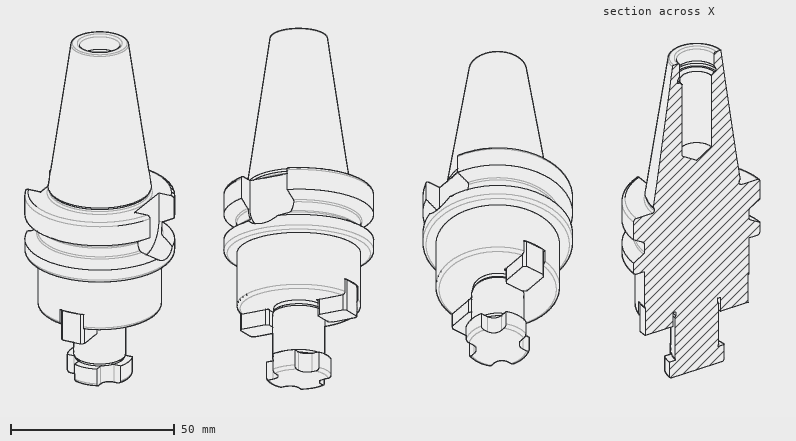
import cadquery as cq
import math

TOTAL_LENGTH = 111.4

GAUGE_Z = 63.0
TAPER_BASE_DIAMETER = 31.7
TAPER_BASE_RADIUS = TAPER_BASE_DIAMETER / 2
TAPER_RATIO = 7 / 24
TAPER_END_ROUND = 0.5

NECK_RADIUS = 15.5
NECK_BASE_ROUND = 0.7
NECK_TOP_RUNOUT = 0.7

FLANGE_DIAMETER = 46.0
FLANGE_RADIUS = FLANGE_DIAMETER / 2
FLANGE_TOP_Z = 61.0
FLANGE_BOTTOM_Z = 41.0
GROOVE_RADIUS = 19.0
GROOVE_TOP_Z = 51.4
GROOVE_BOTTOM_Z = 47.7
GROOVE_ANGLE = 30
GROOVE_FLOOR_ROUND = 0.7
EDGE_ROUND = 1.0

SLOT_WIDTH = 16.0
SLOT_FLOOR_X = 16.3
SLOT_BOTTOM_Z = 43.6

BODY_DIAMETER = 38.0
BODY_RADIUS = BODY_DIAMETER / 2
BODY_BOTTOM_Z = 23.1
KEY_WIDTH = 8.0
KEY_HEIGHT = 10
KEY_BOTTOM_Z = 18.2
KEY_OUTER_Y = 18.7
KEY_INNER_Y = 8.6
KEY_CHAMFER = 0.9

PILOT_RADIUS = 8.0
PILOT_BOTTOM_Z = 6.0
PILOT_END_LENGTH = 0.8
PILOT_RELIEF_RADIUS = 7.7
PILOT_RELIEF_LENGTH = 1.2
PILOT_RELIEF_RUNOUT = 0.7

HEAD_RADIUS = 10
ARM_WIDTH = 7.7
ARM_CORNER_ROUND = 3.0

BORE_RADIUS = 6.2
BORE_MOUTH_ROUND = 0.7
BORE_DEPTH = 4.9
UNDERCUT_RADIUS = 6.9
UNDERCUT_TAPER_LENGTH = 1.2
UNDERCUT_LENGTH = 2.1
TAP_HOLE_RADIUS = 5.2
TAP_HOLE_DEPTH = 33.4
DRILL_POINT_ANGLE = 118


def revolve_about_z(points):
    """Solid of revolution from (radius, z) points; the outline closes itself."""
    profile = cq.Workplane("XZ").polyline(points).close()
    return profile.revolve(360, (0, 0, 0), (0, 1, 0))


def make_taper():
    end_radius = TAPER_BASE_RADIUS - (TOTAL_LENGTH - GAUGE_Z) * TAPER_RATIO / 2
    neck_start_z = FLANGE_TOP_Z + NECK_BASE_ROUND
    round_mid = NECK_BASE_ROUND * (1 - math.sqrt(0.5))
    profile = (
        cq.Workplane("XZ")
        .moveTo(0, FLANGE_TOP_Z)
        .lineTo(NECK_RADIUS + NECK_BASE_ROUND, FLANGE_TOP_Z)
        .threePointArc(
            (NECK_RADIUS + round_mid, FLANGE_TOP_Z + round_mid),
            (NECK_RADIUS, neck_start_z),
        )
        .lineTo(NECK_RADIUS, GAUGE_Z - NECK_TOP_RUNOUT)
        .lineTo(TAPER_BASE_RADIUS, GAUGE_Z)
        .lineTo(end_radius, TOTAL_LENGTH)
        .lineTo(0, TOTAL_LENGTH)
        .close()
    )
    taper = profile.revolve(360, (0, 0, 0), (0, 1, 0))
    return taper.faces(">Z").edges().fillet(TAPER_END_ROUND)


def make_flange():
    groove_rise = (FLANGE_RADIUS - GROOVE_RADIUS) * math.tan(math.radians(GROOVE_ANGLE))
    flange = revolve_about_z([
        (0, FLANGE_BOTTOM_Z),
        (FLANGE_RADIUS, FLANGE_BOTTOM_Z),
        (FLANGE_RADIUS, GROOVE_BOTTOM_Z - groove_rise),
        (GROOVE_RADIUS, GROOVE_BOTTOM_Z),
        (GROOVE_RADIUS, GROOVE_TOP_Z),
        (FLANGE_RADIUS, GROOVE_TOP_Z + groove_rise),
        (FLANGE_RADIUS, FLANGE_TOP_Z),
        (0, FLANGE_TOP_Z),
    ])
    groove_floor = cq.selectors.RadiusNthSelector(0)
    flange = flange.edges("%CIRCLE").edges(groove_floor).fillet(GROOVE_FLOOR_ROUND)
    flange = flange.faces("<Z or >Z").edges().fillet(EDGE_ROUND)
    for side in (-1, 1):
        flange = flange.cut(make_flange_slot(side))
    return flange


def make_flange_slot(side):
    """Round-bottomed slot, open at the top and outer face of the flange."""
    half_width = SLOT_WIDTH / 2
    arc_center_z = SLOT_BOTTOM_Z + half_width
    outline = (
        cq.Workplane("YZ", origin=(side * SLOT_FLOOR_X, 0, 0))
        .moveTo(-half_width, FLANGE_TOP_Z)
        .lineTo(-half_width, arc_center_z)
        .threePointArc((0, SLOT_BOTTOM_Z), (half_width, arc_center_z))
        .lineTo(half_width, FLANGE_TOP_Z)
        .close()
    )
    return outline.extrude(side * FLANGE_RADIUS)


def make_body():
    body = (
        cq.Workplane("XY", origin=(0, 0, BODY_BOTTOM_Z))
        .circle(BODY_RADIUS)
        .extrude(FLANGE_BOTTOM_Z - BODY_BOTTOM_Z)
        .faces("<Z").edges().fillet(EDGE_ROUND)
    )
    for side in (-1, 1):
        body = body.cut(make_key_block(side, BODY_RADIUS)).union(make_key(side))
    return body


def make_key_block(side, outer_y):
    """Rectangular block from the inner end of a key out to outer_y."""
    length = outer_y - KEY_INNER_Y
    return (
        cq.Workplane("XY", origin=(0, side * (KEY_INNER_Y + length / 2), KEY_BOTTOM_Z))
        .rect(KEY_WIDTH, length)
        .extrude(KEY_HEIGHT)
    )


def make_key(side):
    return make_key_block(side, KEY_OUTER_Y).edges("|Z").chamfer(KEY_CHAMFER)


def make_pilot():
    relief_z = BODY_BOTTOM_Z - PILOT_RELIEF_LENGTH
    return revolve_about_z([
        (0, PILOT_BOTTOM_Z),
        (PILOT_RELIEF_RADIUS, PILOT_BOTTOM_Z),
        (PILOT_RADIUS, PILOT_BOTTOM_Z + PILOT_END_LENGTH),
        (PILOT_RADIUS, relief_z - PILOT_RELIEF_RUNOUT),
        (PILOT_RELIEF_RADIUS, relief_z),
        (PILOT_RELIEF_RADIUS, BODY_BOTTOM_Z),
        (0, BODY_BOTTOM_Z),
    ])


def make_screw_head():
    disc = (
        cq.Workplane("XY")
        .circle(HEAD_RADIUS)
        .extrude(PILOT_BOTTOM_Z)
        .faces("<Z").edges().fillet(EDGE_ROUND)
    )
    block_center = ARM_WIDTH / 2 + HEAD_RADIUS / 2
    quadrants = (
        cq.Workplane("XY")
        .rect(2 * block_center, 2 * block_center, forConstruction=True)
        .vertices()
        .rect(HEAD_RADIUS, HEAD_RADIUS)
        .extrude(PILOT_BOTTOM_Z)
        .edges("|Z").fillet(ARM_CORNER_ROUND)
    )
    return disc.cut(quadrants)


def make_bore():
    """Solid to remove from the taper end, from the mouth down to the drill point."""
    mouth_radius = BORE_RADIUS + BORE_MOUTH_ROUND
    mouth_mid = BORE_MOUTH_ROUND * (1 - math.sqrt(0.5))
    undercut_top_z = TOTAL_LENGTH - BORE_DEPTH
    undercut_floor_z = undercut_top_z - UNDERCUT_LENGTH
    tap_chamfer = BORE_RADIUS - TAP_HOLE_RADIUS
    tap_hole_end_z = TOTAL_LENGTH - TAP_HOLE_DEPTH
    point_length = TAP_HOLE_RADIUS / math.tan(math.radians(DRILL_POINT_ANGLE / 2))
    profile = (
        cq.Workplane("XZ")
        .moveTo(0, TOTAL_LENGTH)
        .lineTo(mouth_radius, TOTAL_LENGTH)
        .threePointArc(
            (BORE_RADIUS + mouth_mid, TOTAL_LENGTH - mouth_mid),
            (BORE_RADIUS, TOTAL_LENGTH - BORE_MOUTH_ROUND),
        )
        .lineTo(BORE_RADIUS, undercut_top_z)
        .lineTo(UNDERCUT_RADIUS, undercut_top_z - UNDERCUT_TAPER_LENGTH)
        .lineTo(UNDERCUT_RADIUS, undercut_floor_z)
        .lineTo(BORE_RADIUS, undercut_floor_z)
        .lineTo(TAP_HOLE_RADIUS, undercut_floor_z - tap_chamfer)
        .lineTo(TAP_HOLE_RADIUS, tap_hole_end_z)
        .lineTo(0, tap_hole_end_z - point_length)
        .close()
    )
    return profile.revolve(360, (0, 0, 0), (0, 1, 0))


result = (
    make_taper()
    .union(make_flange())
    .union(make_body())
    .union(make_pilot())
    .union(make_screw_head())
    .cut(make_bore())
)